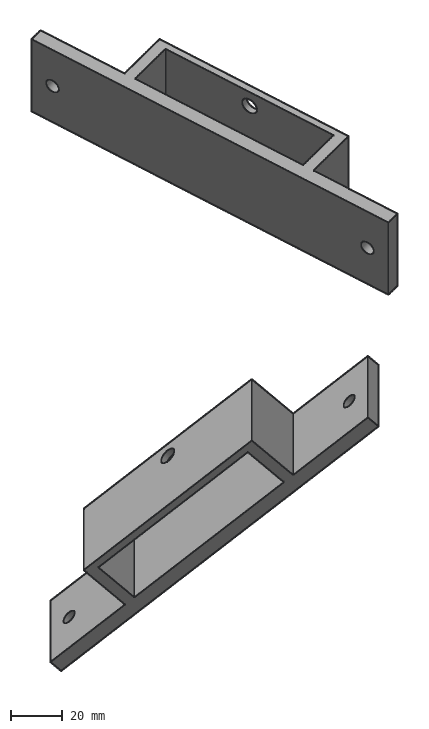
import cadquery as cq

height = 39.6
opening_width = 80.05
opening_depth = 20.05
side_wall = 5.0
back_wall = 3.0
plate_thickness = 6.0
flange_length = 40.0

mount_hole_diameter = 6.0
mount_hole_spacing = 150.0
back_hole_diameter = 7.0
back_hole_height = 12.1

loop_width = opening_width + 2 * side_wall
plate_length = loop_width + 2 * flange_length
total_depth = plate_thickness + opening_depth + back_wall
opening_back = plate_thickness + opening_depth


def block(width, y_start, y_end):
    """Full-height block centred on X and Z, spanning y_start to y_end."""
    depth = y_end - y_start
    return cq.Workplane("XY").box(width, depth, height).translate((0, y_start + depth / 2, 0))


def hole_along_y(x, z, diameter, y_start, y_end):
    """Cylinder centred at x and z, running along Y from y_start to y_end."""
    axis_start = cq.Vector(x, y_start, z)
    return cq.Solid.makeCylinder(diameter / 2, y_end - y_start, axis_start, cq.Vector(0, 1, 0))


plate = block(plate_length, 0, plate_thickness)
loop = block(loop_width, 0, total_depth)
opening = block(opening_width, plate_thickness, opening_back)
result = plate.union(loop).cut(opening)

for side in (-1, 1):
    hole_x = side * mount_hole_spacing / 2
    result = result.cut(hole_along_y(hole_x, 0, mount_hole_diameter, 0, plate_thickness))

result = result.cut(hole_along_y(0, back_hole_height, back_hole_diameter, opening_back, total_depth))